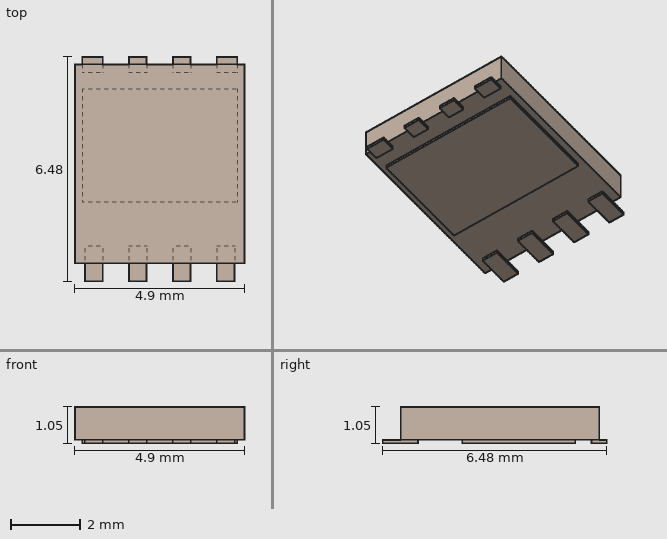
import cadquery as cq

total_length = 6.48
total_height = 1.05
housing_width = 4.9

metal_thickness = 0.1
lead_pitch = 1.27
lead_count = 4
lead_width = 0.52
lead_length = 1.025
lead_overhang = 0.52

tab_length = 0.45
tab_overhang = 0.215
outer_tab_extra = 0.08

pad_length = 3.27
pad_to_tab_gap = 0.465

front_y = -total_length / 2
back_y = total_length / 2
row_half_span = lead_pitch * (lead_count - 1) / 2
pad_width = 2 * (row_half_span + lead_width / 2 + outer_tab_extra)
lead_centres = [i * lead_pitch - row_half_span for i in range(lead_count)]


def block(x_min, x_max, y_min, y_max, z_min, z_max):
    """Box spanning the given limits along each axis."""
    size = (x_max - x_min, y_max - y_min, z_max - z_min)
    return cq.Workplane("XY").box(*size, centered=False).translate((x_min, y_min, z_min))


def make_housing():
    """Plain rectangular body resting on the metal parts."""
    return block(
        -housing_width / 2, housing_width / 2,
        front_y + lead_overhang, back_y - tab_overhang,
        metal_thickness, total_height,
    )


def make_pad():
    """Thermal pad under the housing."""
    pad_back_y = back_y - tab_length - pad_to_tab_gap
    return block(
        -pad_width / 2, pad_width / 2,
        pad_back_y - pad_length, pad_back_y,
        0, metal_thickness,
    )


def make_lead(x_centre):
    """Flat lead projecting from the -Y end."""
    return block(
        x_centre - lead_width / 2, x_centre + lead_width / 2,
        front_y, front_y + lead_length,
        0, metal_thickness,
    )


def make_tab(x_centre, extra_left, extra_right):
    """Short tab at the +Y end, optionally widened on either side."""
    return block(
        x_centre - lead_width / 2 - extra_left, x_centre + lead_width / 2 + extra_right,
        back_y - tab_length, back_y,
        0, metal_thickness,
    )


housing = make_housing()
pad = make_pad()
leads = []
tabs = []
for index, x_centre in enumerate(lead_centres):
    leads.append(make_lead(x_centre).val())
    extra_left = outer_tab_extra if index == 0 else 0
    extra_right = outer_tab_extra if index == lead_count - 1 else 0
    tabs.append(make_tab(x_centre, extra_left, extra_right).val())

result = cq.Compound.makeCompound([housing.val(), pad.val(), *leads, *tabs])